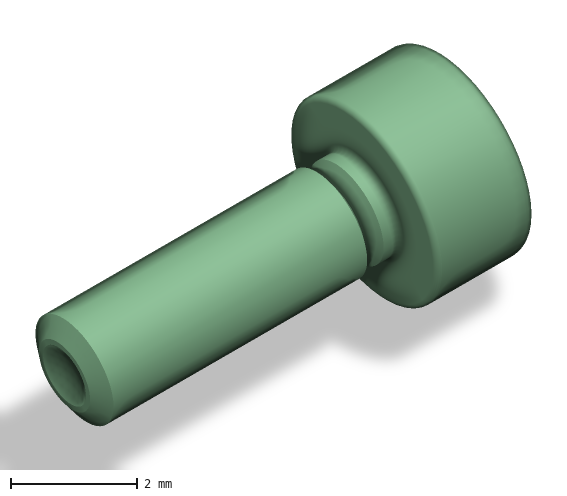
import cadquery as cq
import math

head_radius = 1.9
head_height = 2.0
head_top_round = 0.2
head_underside_round = 0.1

neck_radius = 0.95
neck_fillet = 0.1

shank_radius = 1.0
shank_length = 6.0
chamfer_length = 0.2
cone_angle = math.radians(60)

groove_bottom_offset = 0.5

dish_radius = 0.55
dish_sphere_radius = 1.0

small_radius = shank_radius - chamfer_length * math.tan(cone_angle)
neck_cone_length = (neck_radius - small_radius) / math.tan(cone_angle)
groove_y = -groove_bottom_offset
tip_y = -shank_length


def round_midpoint(center_x, center_y, radius, x_sign, y_sign):
    """Middle point of a quarter round, on the diagonal given by the two signs."""
    reach = radius * math.sqrt(0.5)
    return (center_x + x_sign * reach, center_y + y_sign * reach)


def make_body():
    """Head, filleted neck, V-groove and chamfered shank as one revolved half section."""
    top_round_x = head_radius - head_top_round
    top_round_y = head_height - head_top_round
    underside_round_x = head_radius - head_underside_round
    neck_fillet_x = neck_radius + neck_fillet

    section = (
        cq.Workplane("XY")
        .moveTo(0, head_height)
        .lineTo(top_round_x, head_height)
        .threePointArc(
            round_midpoint(top_round_x, top_round_y, head_top_round, 1, 1),
            (head_radius, top_round_y),
        )
        .lineTo(head_radius, head_underside_round)
        .threePointArc(
            round_midpoint(underside_round_x, head_underside_round, head_underside_round, 1, -1),
            (underside_round_x, 0),
        )
        .lineTo(neck_fillet_x, 0)
        .threePointArc(
            round_midpoint(neck_fillet_x, -neck_fillet, neck_fillet, -1, 1),
            (neck_radius, -neck_fillet),
        )
        .lineTo(neck_radius, groove_y + neck_cone_length)
        .lineTo(small_radius, groove_y)
        .lineTo(shank_radius, groove_y - chamfer_length)
        .lineTo(shank_radius, tip_y + chamfer_length)
        .lineTo(small_radius, tip_y)
        .lineTo(0, tip_y)
        .close()
    )
    return section.revolve(360, (0, 0, 0), (0, 1, 0))


def make_dish_cutter():
    """Sphere centred beyond the tip, cutting a shallow dish of the given rim radius."""
    center_offset = math.sqrt(dish_sphere_radius**2 - dish_radius**2)
    return cq.Workplane("XY").sphere(dish_sphere_radius).translate((0, tip_y - center_offset, 0))


result = make_body().cut(make_dish_cutter())